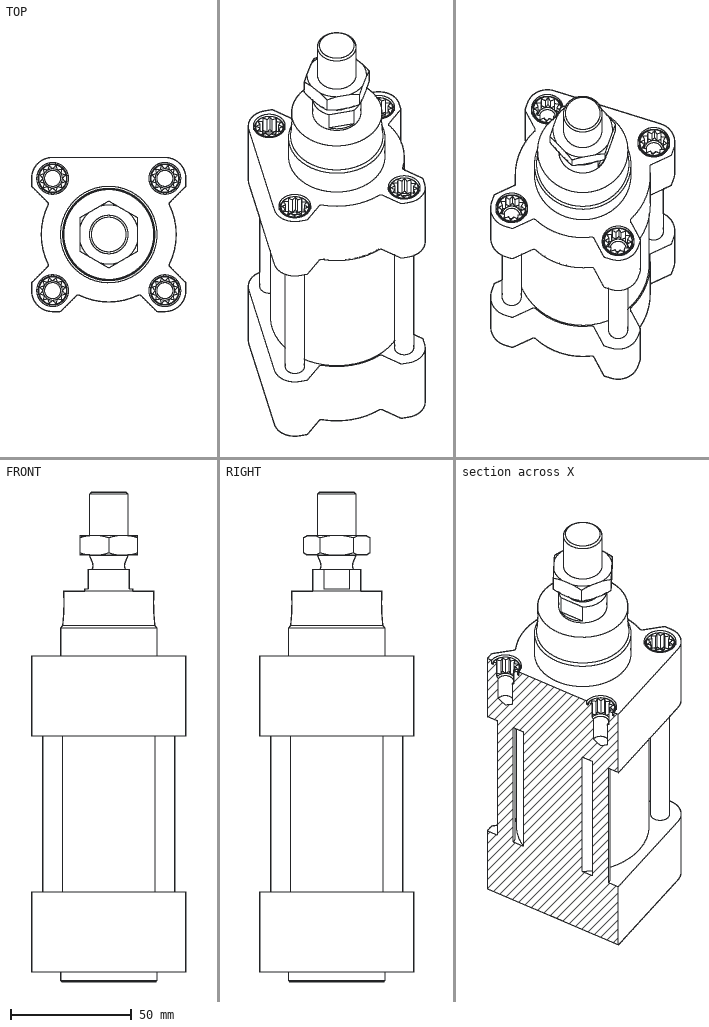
import cadquery as cq
import math

total_height = 202.8
spigot_height = 4.0
spigot_diameter = 40.0
spigot_chamfer = 0.5
cap_height = 33.2
caps_length = 131.0
rear_cap_bottom = spigot_height
rear_cap_top = rear_cap_bottom + cap_height
front_cap_top = rear_cap_bottom + caps_length
front_cap_bottom = front_cap_top - cap_height

cap_width = 64.0
cap_round_diameter = 56.0
screw_spacing = 46.5
lobe_flat_end = 20.0
lobe_fillet = 1.0
tube_diameter = 55.0
tie_rod_diameter = 8.0

screw_hole_diameter = 13.2
screw_gap_depth = 2.0
screw_head_diameter = 12.0
screw_head_top_diameter = 11.45
screw_head_drop = 0.4
socket_tooth_count = 12
socket_outer_diameter = 10.8
socket_inner_diameter = 8.0
socket_depth = 8.0
thread_bore_diameter = 6.65
thread_bore_depth = 20.0
drill_point_angle = 118.0

collar_diameter = 40.0
collar_shoulder = total_height - 56.3
sleeve_base = total_height - 55.2
sleeve_base_diameter = 38.3
sleeve_top_diameter = 37.5
sleeve_waist_diameter = 37.3
collar_top = total_height - 41.0

rod_diameter = 20.0
rod_seat_depth = 20.0
rod_bottom = collar_top - rod_seat_depth
thread_diameter = 16.0
thread_length = 32.0
thread_tip_diameter = 14.38
rod_shoulder = total_height - thread_length
neck_diameter = 13.9
neck_waist_diameter = 13.2
neck_cone_start = total_height - 26.3
neck_cone_end = total_height - 28.8
wrench_flat_width = 17.0
wrench_flat_length = 8.0

nut_across_flats = 24.0
nut_height = 8.0
nut_top = total_height - 18.0
nut_bottom = nut_top - nut_height
nut_face_diameter = 24.6
nut_chamfer_angle = 30.0


def cylinder(diameter, bottom, top):
    return cq.Workplane("XY").workplane(offset=bottom).circle(diameter / 2).extrude(top - bottom)


def screw_points():
    half = screw_spacing / 2
    return [(x, y) for x in (-half, half) for y in (-half, half)]


def side_notch(bottom):
    """Space between two lobes on the -Y side: 45 degree flanks around the round body."""
    half = cap_width / 2
    wedge = (
        cq.Workplane("XY").workplane(offset=bottom)
        .polyline([(-lobe_flat_end, -half), (lobe_flat_end, -half), (0, lobe_flat_end - half)])
        .close().extrude(cap_height)
    )
    return wedge.cut(cylinder(cap_round_diameter, bottom, bottom + cap_height))


def end_cap(bottom):
    """Round body with four corner lobes; the +Y side is filled flush between its lobes."""
    corner_radius = (cap_width - screw_spacing) / 2
    cap = (
        cq.Workplane("XY").workplane(offset=bottom)
        .rect(cap_width, cap_width).extrude(cap_height)
        .edges("|Z").fillet(corner_radius)
    )
    for angle in (0, 90, -90):
        cap = cap.cut(side_notch(bottom).rotate((0, 0, 0), (0, 0, 1), angle))
    return round_notch_corners(cap)


def round_notch_corners(cap):
    """Fillet the outer and inner ends of the 45 degree flanks on the three notched sides."""
    half = cap_width / 2
    flank_line = half - lobe_flat_end
    root = (math.sqrt(cap_round_diameter ** 2 / 2 - flank_line ** 2) - flank_line) / 2
    corners = [(lobe_flat_end, half), (root, root + flank_line)]
    spots = []
    for across, out in corners:
        for side in (-1, 1):
            spots += [(side * across, -out), (-out, side * across), (out, side * across)]

    reach = 0.1
    for x, y in spots:
        low_corner = (x - reach, y - reach, 0)
        high_corner = (x + reach, y + reach, total_height)
        upright_edge = cq.selectors.BoxSelector(low_corner, high_corner)
        cap = cap.edges("|Z").edges(upright_edge).fillet(lobe_fillet)
    return cap


def screw_gap_and_head():
    """Clearance hole with the chamfered screw head left standing inside it."""
    head_chamfer = (screw_head_diameter - screw_head_top_diameter) / 2
    return (
        cq.Workplane("XZ")
        .polyline([
            (0, 0),
            (screw_hole_diameter / 2, 0),
            (screw_hole_diameter / 2, -screw_gap_depth),
            (screw_head_diameter / 2, -screw_gap_depth),
            (screw_head_diameter / 2, -screw_head_drop - head_chamfer),
            (screw_head_top_diameter / 2, -screw_head_drop),
            (0, -screw_head_drop),
        ]).close().revolve()
    )


def toothed_socket():
    points = []
    for index in range(2 * socket_tooth_count):
        diameter = socket_outer_diameter if index % 2 else socket_inner_diameter
        angle = math.pi * index / socket_tooth_count
        points.append((diameter / 2 * math.cos(angle), diameter / 2 * math.sin(angle)))
    return cq.Workplane("XY").polyline(points).close().extrude(-socket_depth)


def threaded_bore():
    """Core hole below the socket, with a 45 degree lead-in and a drill point."""
    bore_radius = thread_bore_diameter / 2
    lead_in = socket_inner_diameter / 2 - bore_radius
    point_height = bore_radius / math.tan(math.radians(drill_point_angle / 2))
    return (
        cq.Workplane("XZ")
        .polyline([
            (0, 0),
            (socket_inner_diameter / 2, 0),
            (socket_inner_diameter / 2, -socket_depth),
            (bore_radius, -socket_depth - lead_in),
            (bore_radius, -thread_bore_depth),
            (0, -thread_bore_depth - point_height),
        ]).close().revolve()
    )


def screw_recess():
    recess = screw_gap_and_head().union(toothed_socket()).union(threaded_bore())
    return recess.translate((0, 0, front_cap_top))


def front_collar():
    """Plain collar, short chamfer and a slightly waisted sleeve."""
    return (
        cq.Workplane("XZ")
        .moveTo(0, front_cap_top)
        .lineTo(collar_diameter / 2, front_cap_top)
        .lineTo(collar_diameter / 2, collar_shoulder)
        .lineTo(sleeve_base_diameter / 2, sleeve_base)
        .threePointArc(
            (sleeve_waist_diameter / 2, (sleeve_base + collar_top) / 2),
            (sleeve_top_diameter / 2, collar_top),
        )
        .lineTo(0, collar_top)
        .close().revolve()
    )


def make_housing():
    body = cylinder(spigot_diameter, 0, spigot_height).faces("<Z").chamfer(spigot_chamfer)
    body = body.union(end_cap(rear_cap_bottom))
    body = body.union(cylinder(tube_diameter, rear_cap_top, front_cap_bottom))
    body = body.union(end_cap(front_cap_bottom))
    body = body.union(front_collar())
    tie_rod = cylinder(tie_rod_diameter, rear_cap_top, front_cap_bottom)
    recess = screw_recess()
    for x, y in screw_points():
        body = body.union(tie_rod.translate((x, y, 0)))
        body = body.cut(recess.translate((x, y, 0)))
    return body.cut(cylinder(rod_diameter, rod_bottom, collar_top))


def make_piston_rod():
    tip_chamfer = (thread_diameter - thread_tip_diameter) / 2
    rod = (
        cq.Workplane("XZ")
        .moveTo(0, rod_bottom)
        .lineTo(rod_diameter / 2, rod_bottom)
        .lineTo(rod_diameter / 2, rod_shoulder)
        .lineTo(neck_diameter / 2, rod_shoulder)
        .threePointArc(
            (neck_waist_diameter / 2, (rod_shoulder + neck_cone_end) / 2),
            (neck_diameter / 2, neck_cone_end),
        )
        .lineTo(thread_diameter / 2, neck_cone_start)
        .lineTo(thread_diameter / 2, total_height - tip_chamfer)
        .lineTo(thread_tip_diameter / 2, total_height)
        .lineTo(0, total_height)
        .close().revolve()
    )
    flat_cut = cq.Workplane("XY").box(rod_diameter, rod_diameter, wrench_flat_length)
    cut_offset = (wrench_flat_width + rod_diameter) / 2
    for side in (-1, 1):
        rod = rod.cut(flat_cut.translate((side * cut_offset, 0, rod_shoulder - wrench_flat_length / 2)))
    return rod


def make_nut():
    corner_angle = 30
    across_corners = nut_across_flats / math.cos(math.radians(corner_angle))
    drop = (across_corners - nut_face_diameter) / 2 * math.tan(math.radians(nut_chamfer_angle))
    hexagon = (
        cq.Workplane("XY").workplane(offset=nut_bottom)
        .polygon(6, across_corners).extrude(nut_height)
        .rotate((0, 0, 0), (0, 0, 1), corner_angle)
    )
    chamfered_disc = (
        cq.Workplane("XZ")
        .polyline([
            (0, nut_bottom),
            (nut_face_diameter / 2, nut_bottom),
            (across_corners / 2, nut_bottom + drop),
            (across_corners / 2, nut_top - drop),
            (nut_face_diameter / 2, nut_top),
            (0, nut_top),
        ]).close().revolve()
    )
    return hexagon.intersect(chamfered_disc).cut(cylinder(thread_diameter, nut_bottom, nut_top))


housing = make_housing()
piston_rod = make_piston_rod()
nut = make_nut()
result = cq.Compound.makeCompound([housing.val(), piston_rod.val(), nut.val()])